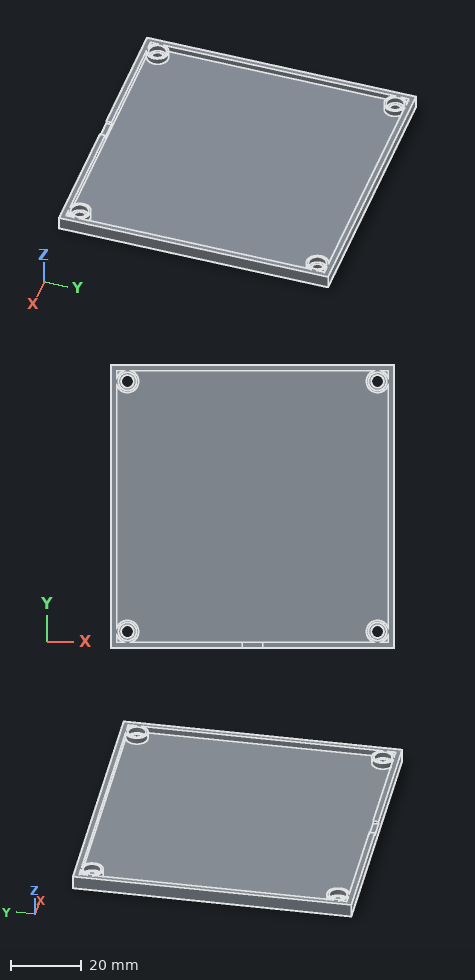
import cadquery as cq

side = 80.0
height = 4.0
wall = 1.6
floor = 2.0

wall_overlap = 0.1
boss_diameter = 6.3
boss_inset = wall + boss_diameter / 2 - wall_overlap
head_diameter = 5.1
screw_diameter = 3.5

notch_width = 5.8
notch_depth = 0.8


def cylinder(diameter, bottom, top):
    """Upright cylinder on the Z axis between two heights."""
    return cq.Workplane("XY").workplane(offset=bottom).circle(diameter / 2).extrude(top - bottom)


def block(width, depth, bottom, top):
    """Block centred on the Z axis between two heights."""
    return cq.Workplane("XY").workplane(offset=bottom).rect(width, depth).extrude(top - bottom)


tray = block(side, side, 0, height)
inner_side = side - 2 * wall
tray = tray.cut(block(inner_side, inner_side, floor, height))

notch = block(notch_width, wall, height - notch_depth, height)
tray = tray.cut(notch.translate((0, (wall - side) / 2, 0)))

boss = cylinder(boss_diameter, 0, height)
screw_hole = cylinder(screw_diameter, 0, height)
screw_hole = screw_hole.union(cylinder(head_diameter, floor, height))
boss_offset = side / 2 - boss_inset
for x_sign in (-1, 1):
    for y_sign in (-1, 1):
        corner = (x_sign * boss_offset, y_sign * boss_offset, 0)
        tray = tray.union(boss.translate(corner))
        tray = tray.cut(screw_hole.translate(corner))

result = tray